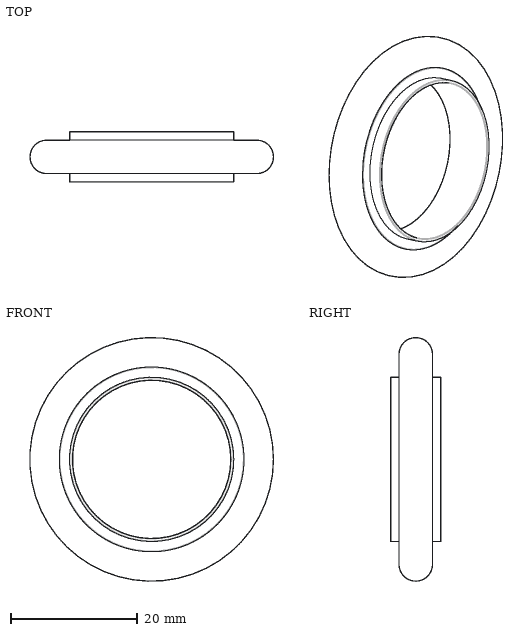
import cadquery as cq

outer_diameter = 38.6
seal_section_diameter = 5.33
seal_section_radius = seal_section_diameter / 2
seal_center_radius = outer_diameter / 2 - seal_section_radius

sleeve_length = 8.0
bore_diameter = 25.0
sleeve_diameter = 26.0
collar_width = 3.75
edge_radius = 0.095


def make_seal():
    """Torus whose section circle is revolved about the Y axis."""
    return (
        cq.Workplane("XY")
        .center(seal_center_radius, 0)
        .circle(seal_section_radius)
        .revolve(360, (-seal_center_radius, 0), (-seal_center_radius, 1))
    )


def make_centering_ring():
    """Sleeve and collar, with a concave seat that fits the inside of the seal.

    The rims at both ends of the sleeve and the outer rims of the collar are rounded.
    """
    bore_radius = bore_diameter / 2
    sleeve_radius = sleeve_diameter / 2
    half_length = sleeve_length / 2
    half_collar = collar_width / 2
    seat_bottom_radius = seal_center_radius - seal_section_radius
    seat_depth = seal_section_radius - (seal_section_radius**2 - half_collar**2) ** 0.5
    collar_radius = seat_bottom_radius + seat_depth

    ring = (
        cq.Workplane("XY")
        .moveTo(bore_radius, -half_length)
        .lineTo(sleeve_radius, -half_length)
        .lineTo(sleeve_radius, -half_collar)
        .lineTo(collar_radius, -half_collar)
        .threePointArc((seat_bottom_radius, 0), (collar_radius, half_collar))
        .lineTo(sleeve_radius, half_collar)
        .lineTo(sleeve_radius, half_length)
        .lineTo(bore_radius, half_length)
        .close()
        .revolve(360, (0, 0), (0, 1))
    )
    collar_rims = ring.edges(cq.selectors.RadiusNthSelector(-1))
    return (
        ring.faces("<Y or >Y")
        .edges()
        .add(collar_rims)
        .fillet(edge_radius)
    )


seal = make_seal()
centering_ring = make_centering_ring()

result = cq.Compound.makeCompound([seal.val(), centering_ring.val()])